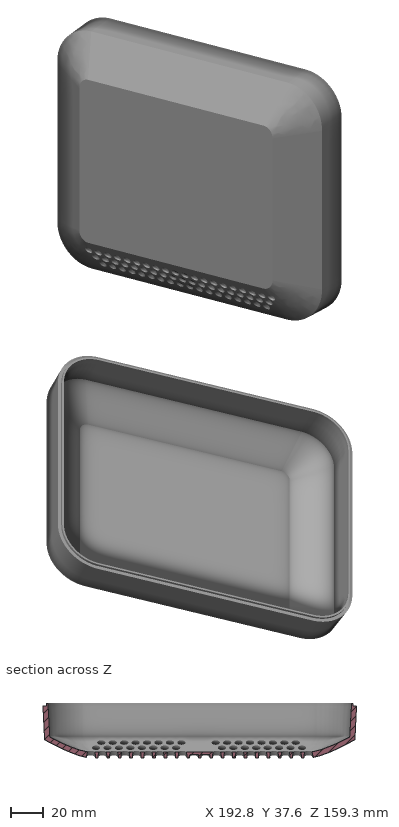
import cadquery as cq
import math

width = 192.8
height = 159.3
depth = 37.6
wall = 3.3

bevel_depth = 15.5
lip_depth = 1.5
band_back = depth - lip_depth

corner_x = 25.5
corner_z = 27.0
band_draft = 1.0

face_width = 139.2
face_height = 108.2
face_corner_x = 6.2
face_corner_z = 7.0

lip_inset = 2.1

hole_diameter = 5.0
hole_pitch = 7.0
row_counts = (20, 19, 18)
blind_counts = (2, 3, 2)
first_row_z = -61.3
row_step_z = 5.0
row_skew = 0.29
blind_depth = 1.7

band_front_height = height - 2 * band_draft
bevel_drop = (band_front_height - face_height) / 2
bevel_angle = math.atan2(bevel_depth, bevel_drop)


def outline(y, inset, size, corner):
    """Closed wire at depth y: a rectangle with arc corners, shrunk all round by inset."""
    half_x = size[0] / 2 - inset
    half_z = size[1] / 2 - inset
    cut_x = corner[0] - inset
    cut_z = corner[1] - inset
    flat_x = half_x - cut_x
    flat_z = half_z - cut_z
    mid_x = flat_x + cut_x * math.sqrt(0.5)
    mid_z = flat_z + cut_z * math.sqrt(0.5)
    return (
        cq.Workplane("XZ", origin=(0, y, 0))
        .moveTo(-flat_x, half_z)
        .lineTo(flat_x, half_z)
        .threePointArc((mid_x, mid_z), (half_x, flat_z))
        .lineTo(half_x, -flat_z)
        .threePointArc((mid_x, -mid_z), (flat_x, -half_z))
        .lineTo(-flat_x, -half_z)
        .threePointArc((-mid_x, -mid_z), (-half_x, -flat_z))
        .lineTo(-half_x, flat_z)
        .threePointArc((-mid_x, mid_z), (-flat_x, half_z))
        .close()
        .val()
    )


def band_outline(y, inset):
    return outline(y, inset, (width, height), (corner_x, corner_z))


def face_outline(y, inset):
    return outline(y, inset, (face_width, face_height), (face_corner_x, face_corner_z))


def ruled_solid(*wires):
    return cq.Workplane(cq.Solid.makeLoft(list(wires), True))


def body(offset):
    """Drafted band and bevelled front, with every outer surface moved inwards by offset."""
    face_inset = offset * math.tan(bevel_angle / 2)
    bevel_shift = offset * math.tan((math.pi / 2 - bevel_angle) / 2)
    shoulder_y = bevel_depth + bevel_shift
    shoulder = band_outline(shoulder_y, band_draft + offset)
    band = ruled_solid(band_outline(band_back, offset), shoulder)
    bevel = ruled_solid(shoulder, face_outline(offset, face_inset))
    return band.union(bevel)


def lip():
    outer = ruled_solid(band_outline(band_back, lip_inset), band_outline(depth, lip_inset))
    inner = ruled_solid(band_outline(band_back, wall), band_outline(depth, wall))
    return outer.cut(inner)


def vent_holes():
    """Three staggered rows; the middle holes of each row are blind, the rest go through the wall."""
    inward = cq.Vector(0, math.cos(bevel_angle), math.sin(bevel_angle))
    through_depth = 2 * wall
    holes = []
    for row, (count, blind_count) in enumerate(zip(row_counts, blind_counts)):
        z = first_row_z - row * row_step_z
        y = (-face_height / 2 - z) * math.tan(bevel_angle)
        for index in range(count):
            from_middle = index - (count - 1) / 2
            x = from_middle * hole_pitch - row * row_skew
            is_blind = abs(from_middle) < blind_count / 2
            hole_depth = blind_depth if is_blind else through_depth
            start = cq.Vector(x, y, z) - inward * wall
            holes.append(cq.Solid.makeCylinder(hole_diameter / 2, wall + hole_depth, start, inward))
    return cq.Workplane(cq.Compound.makeCompound(holes))


result = body(0).cut(body(wall)).union(lip()).cut(vent_holes())